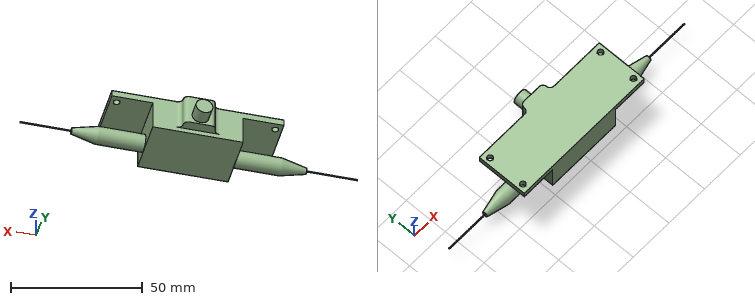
import cadquery as cq

total_length = 132.0
total_depth = 33.0
total_height = 15.0

plate_length = 67.3
plate_depth = 23.1
plate_thickness = 2.8
block_length = 35.4
hole_diameter = 2.5
hole_spacing_x = 62.0
hole_spacing_y = 16.9

lug_width = 12.5
lug_radius = 2.0
lug_base_z = 2.0
connector_diameter = 6.6
connector_z = 6.0

axis_y = 9.0
axis_z = 4.0
boot_diameter = 7.0
boot_tip_diameter = 2.5
boot_span = 91.9
boot_straight_span = 72.0
fibre_diameter = 0.5


def make_housing():
    """Block below a wider plate, with mounting holes through the plate corners."""
    block = cq.Workplane("XY").box(block_length, plate_depth, total_height, centered=(True, False, False))
    plate = (
        cq.Workplane("XY", origin=(0, plate_depth / 2, total_height - plate_thickness))
        .rect(plate_length, plate_depth)
        .rect(hole_spacing_x, hole_spacing_y, forConstruction=True)
        .vertices()
        .circle(hole_diameter / 2)
        .extrude(plate_thickness)
    )
    return block.union(plate)


def make_lug():
    """Lug whose sides flare into the block and round over at the rear, with equal radii."""
    half_width = lug_width / 2
    half_foot = half_width + lug_radius
    half_rear = half_width - lug_radius
    turn_y = plate_depth + lug_radius
    rear_y = turn_y + lug_radius
    embed_y = plate_depth / 2
    return (
        cq.Workplane("XY", origin=(0, 0, lug_base_z))
        .moveTo(-half_foot, embed_y)
        .lineTo(half_foot, embed_y)
        .lineTo(half_foot, plate_depth)
        .radiusArc((half_width, turn_y), lug_radius)
        .radiusArc((half_rear, rear_y), -lug_radius)
        .lineTo(-half_rear, rear_y)
        .radiusArc((-half_width, turn_y), -lug_radius)
        .radiusArc((-half_foot, plate_depth), lug_radius)
        .close()
        .extrude(total_height - lug_base_z)
    )


def make_connector():
    """Round connector running from inside the lug to the rear end of the part."""
    return (
        cq.Workplane("XZ", origin=(0, total_depth, connector_z))
        .circle(connector_diameter / 2)
        .extrude(total_depth - plate_depth)
    )


def make_boots_and_fibre():
    """Revolved profile: fibre, tapered boot, straight boot, and the same mirrored."""
    fibre_radius = fibre_diameter / 2
    tip_radius = boot_tip_diameter / 2
    boot_radius = boot_diameter / 2
    half_profile = [
        (total_length / 2, 0),
        (total_length / 2, fibre_radius),
        (boot_span / 2, fibre_radius),
        (boot_span / 2, tip_radius),
        (boot_straight_span / 2, boot_radius),
    ]
    mirrored_profile = [(-x, radius) for x, radius in reversed(half_profile)]
    return (
        cq.Workplane("XY", origin=(0, axis_y, axis_z))
        .polyline(half_profile + mirrored_profile)
        .close()
        .revolve(360, (0, 0, 0), (1, 0, 0))
    )


result = make_housing().union(make_lug()).union(make_connector()).union(make_boots_and_fibre())